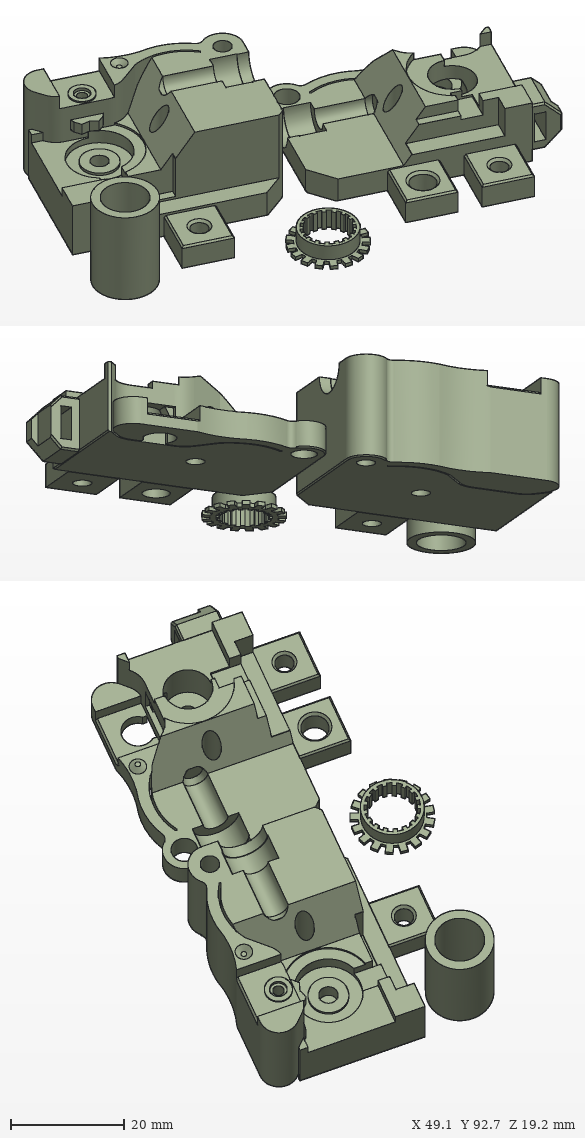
import cadquery as cq
import math

inner_y = 2.15
outer_y = 43.0
right_x = 30.0
inner_corner_chamfer = 4.5
bottom_chamfer = 0.25
ramp_low_y = 18.93
ramp_high_y = 24.74
hub_x, hub_y = 15.6, 33.0
margin = 2.0

pivot_x, pivot_y = 3.95, 6.0
pivot_radius = 3.9
arm_tip_radius = 3.58
arm_tip_y = 39.3
arm_flat_end_y = 28.4
arm_hole_x = 6.05
arm_recess_y = (27.85, 38.1)
arm_recess_lip = 0.4
pip_x, pip_y = 2.75, 24.9
pip_base_diameter = 3.1
pip_top_diameter = 1.0
pip_height = 0.8

slit_width = 0.4
half_root = math.sqrt(0.5)
block_corner_x = arm_tip_radius * (1 + half_root)
slit_tip_x = (arm_tip_radius + slit_width / 2) * half_root + arm_tip_radius
slit_tip_y = (arm_tip_radius + slit_width / 2) * half_root + arm_tip_y
slit_lead = 0.6
slit_wall_x = 8.98
slit_bend_radius = 4.5
slit_diagonal_end = (4.2, 22.2)
slit_bow = (2.5, 16.6)
slit_end = (4.1, 10.4)

rail_x = 26.5
rail_outer_y = 37.85
slot_x = 24.9
post_x = 24.3
notch_y = (30.85, 34.95)
corner_strip_x = 7.65
disc_radius = 8.2
tab_length = 9.8
tab_height = 4.7
tab_chamfer = 0.35
lead_in = 0.5
ramp_hole_diameter = 3.4
ramp_hole_y = (ramp_low_y + ramp_high_y) / 2

screw_x = 11.3
screw_diameter = 4.7
screw_head_diameter = 8.8
screw_mouth_diameter = 8.5
screw_mouth_y = 4.35
screw_head_y = 9.42
screw_tip_y = 20.1
screw_tip_length = 1.2
screw_tip_diameter = 3.6



def box(x_range, y_range, z_range):
    """Axis-aligned box between pairs of limits."""
    size = [pair[1] - pair[0] for pair in (x_range, y_range, z_range)]
    corner = (x_range[0], y_range[0], z_range[0])
    return cq.Workplane("XY").box(*size, centered=False).translate(corner)


def cylinder(x, y, diameter, z_low, z_high):
    """Upright cylinder."""
    plane = cq.Workplane("XY", origin=(x, y, z_low))
    return plane.circle(diameter / 2).extrude(z_high - z_low)


def cone(x, y, z_low, low_diameter, z_high, high_diameter):
    """Upright truncated cone."""
    solid = cq.Solid.makeCone(
        low_diameter / 2, high_diameter / 2, z_high - z_low, pnt=cq.Vector(x, y, z_low)
    )
    return cq.Workplane(obj=solid)




def housing_outline(height):
    """Plan shape of one housing, arm included, with bevelled bottom edges."""
    neck_start = (1.15, 8.7)
    neck_end = (1.5, 10.5)
    side_wave_y = 18.6
    tip_side = arm_tip_radius * half_root
    return (
        cq.Workplane("XY")
        .moveTo(pivot_x, inner_y)
        .lineTo(right_x - inner_corner_chamfer, inner_y)
        .lineTo(right_x, inner_y + inner_corner_chamfer)
        .lineTo(right_x, outer_y)
        .lineTo(block_corner_x, outer_y)
        .lineTo(block_corner_x, arm_tip_y + tip_side)
        .threePointArc((arm_tip_radius, arm_tip_y + arm_tip_radius), (0, arm_tip_y))
        .lineTo(0, arm_flat_end_y)
        .threePointArc((0.85, 23.8), (0.3, side_wave_y))
        .threePointArc((0.3, 14.4), neck_end)
        .threePointArc((1.65, 9.5), neck_start)
        .threePointArc((pivot_x - pivot_radius, pivot_y), (pivot_x, inner_y))
        .close()
        .extrude(height)
        .faces("<Z")
        .edges(">X or >Y or <Y")
        .chamfer(bottom_chamfer)
    )


def slit_path():
    """Centre line of the slit, from beyond the arm tip to its blind end."""
    lead = slit_lead * half_root
    reach = slit_bend_radius * half_root
    bend_x = slit_wall_x - slit_bend_radius
    mid_x = bend_x + slit_bend_radius * math.cos(math.pi / 8)
    mid_rise = slit_bend_radius * math.sin(math.pi / 8)
    upper_y = slit_tip_x + slit_tip_y - bend_x - 2 * reach
    diagonal_end_x, diagonal_end_y = slit_diagonal_end
    lower_y = diagonal_end_y - diagonal_end_x + bend_x + 2 * reach
    return (
        cq.Workplane("XY")
        .moveTo(slit_tip_x - lead, slit_tip_y + lead)
        .lineTo(bend_x + reach, upper_y + reach)
        .threePointArc((mid_x, upper_y + mid_rise), (slit_wall_x, upper_y))
        .lineTo(slit_wall_x, lower_y)
        .threePointArc((mid_x, lower_y - mid_rise), (bend_x + reach, lower_y - reach))
        .lineTo(*slit_diagonal_end)
        .threePointArc(slit_bow, slit_end)
    )


def slit_cutter(height):
    """Narrow gap that follows the slit's centre line."""
    slit = slit_path().wire().offset2D(slit_width / 2).extrude(height + 2 * margin)
    return slit.translate((0, 0, -margin))


def block_zone(height):
    """Everything to the right of the slit's centre line."""
    far_x = right_x + margin
    return (
        slit_path()
        .lineTo(slit_end[0], 0)
        .lineTo(far_x, 0)
        .lineTo(far_x, outer_y + margin)
        .lineTo(slit_tip_x - slit_lead * half_root, outer_y + margin)
        .close()
        .extrude(height)
    )


def above_block_surface(inner_z, outer_z, top_z):
    """Space above the inner plateau, the ramp and the outer plateau."""
    return (
        cq.Workplane("YZ", origin=(-margin, 0, 0))
        .moveTo(0, top_z)
        .lineTo(0, inner_z)
        .lineTo(ramp_low_y, inner_z)
        .lineTo(ramp_high_y, outer_z)
        .lineTo(outer_y + margin, outer_z)
        .lineTo(outer_y + margin, top_z)
        .close()
        .extrude(right_x + 2 * margin)
    )




def screw_bed(parting_z):
    """Screw, head and mouth lying on the parting face, revolved about the screw axis."""
    profile = [
        (0, 0),
        (screw_mouth_diameter / 2, 0),
        (screw_mouth_diameter / 2, screw_mouth_y),
        (screw_head_diameter / 2, screw_mouth_y),
        (screw_head_diameter / 2, screw_head_y),
        (screw_diameter / 2, screw_head_y),
        (screw_diameter / 2, screw_tip_y - screw_tip_length),
        (screw_tip_diameter / 2, screw_tip_y),
        (0, screw_tip_y),
    ]
    turned = cq.Workplane("XY").polyline(profile).close().revolve(360, (0, 0, 0), (0, 1, 0))
    return turned.translate((screw_x, 0, parting_z))


def arm_recess(floor_z, top_z):
    """Recess across the arm, bevelled where it opens to the left."""
    return (
        cq.Workplane("XZ", origin=(0, arm_recess_y[1], 0))
        .moveTo(-margin, top_z)
        .lineTo(-margin, floor_z - arm_recess_lip)
        .lineTo(0, floor_z - arm_recess_lip)
        .lineTo(arm_recess_lip, floor_z)
        .lineTo(slit_wall_x, floor_z)
        .lineTo(slit_wall_x, top_z)
        .close()
        .extrude(arm_recess_y[1] - arm_recess_y[0])
    )


def rail_channel(inner_end_y, floor_z, top_z):
    """Open step along the right edge."""
    return box((rail_x, right_x + margin), (inner_end_y, rail_outer_y), (floor_z, top_z))


def rail_slot(inner_end_y, floor_z, top_z):
    """Narrow slot beside the rail, ending at the cross notch."""
    return box((slot_x, rail_x), (inner_end_y, notch_y[0]), (floor_z, top_z))


def top_recesses(disc_z, floor_z, notch_z, notch_left_x, top_z):
    """Half disc around the cavity, the floor behind it, and the cross notch."""
    disc = cylinder(hub_x, hub_y, 2 * disc_radius, disc_z, top_z)
    disc = disc.intersect(box((0, right_x), (0, hub_y), (0, top_z)))
    floor = box((corner_strip_x, post_x), (hub_y, outer_y + margin), (floor_z, top_z))
    notch = box((notch_left_x, rail_x), notch_y, (notch_z, top_z))
    return disc.union(floor).union(notch)


def tab(inner_end_y, hole_diameter):
    """Mounting tab on the right side with a countersunk hole."""
    outer_end_x = right_x + tab_length
    outer_end_y = inner_end_y + tab_length
    plate = (
        box((right_x, outer_end_x), (inner_end_y, outer_end_y), (0, tab_height))
        .faces(">Z")
        .edges(">X or >Y or <Y")
        .chamfer(tab_chamfer)
    )
    hole_x = right_x + tab_length / 2
    hole_y = inner_end_y + tab_length / 2
    mouth_diameter = hole_diameter + 2 * lead_in
    mouth = cone(hole_x, hole_y, tab_height - lead_in, hole_diameter, tab_height, mouth_diameter)
    return plate.cut(cylinder(hole_x, hole_y, hole_diameter, 0, tab_height)).cut(mouth)


back_inner_z = 5.0
back_outer_z = 13.0
back_disc_z = 11.57
back_floor_z = 10.26
back_notch_z = 9.8
back_notch_x = 20.7
back_rail_inner_y = 20.5
back_rail_z = 7.0
back_slot_inner_y = 22.0
back_slot_z = 10.6
back_recess_z = 2.4
back_pivot_hole = 4.7
back_bore_diameter = 8.8
back_bore_z = 2.4
back_pin_hole_diameter = 3.2
back_pin_hole_depth = 1.4
clip_hole_diameter = 6.0
clip_gap = 4.7
window_y = (28.6, 37.2)
window_z = (2.4, 7.4)
window_depth = 1.0
window_hole_diameter = 7.25
back_tab_small_y = 30.25
back_tab_large_y = 15.95
small_tab_hole = 3.4
large_tab_hole = 5.0

lug_x = (18.6, 26.9)
lug_step_x = 24.3
lug_step_y = 48.45
lug_tip_y = 49.7
lug_height = 10.0
lug_bevel = 3.2
lug_edge_chamfer = 0.35
lug_slot_y = (44.5, 46.6)
lug_slot_z = (1.9, 8.0)


def side_window():
    """Opening from the slit into the bore: a flat pocket, then a trimmed round hole."""
    wall_x = slit_wall_x
    pocket = box((wall_x, wall_x + window_depth), window_y, window_z)
    middle_z = sum(window_z) / 2
    tunnel = cq.Workplane("YZ", origin=(wall_x, 0, 0)).center(hub_y, middle_z)
    tunnel = tunnel.circle(window_hole_diameter / 2).extrude(hub_x - wall_x)
    return pocket.union(tunnel.intersect(box((wall_x, hub_x), window_y, window_z)))


def end_lug():
    """Bevelled lug on the far end with a slot through it along X."""
    profile = (
        cq.Workplane("YZ", origin=(lug_x[0], 0, 0))
        .moveTo(outer_y, 0)
        .lineTo(lug_tip_y - lug_bevel, 0)
        .lineTo(lug_tip_y, lug_bevel)
        .lineTo(lug_tip_y, lug_height - lug_bevel)
        .lineTo(lug_tip_y - lug_bevel, lug_height)
        .lineTo(outer_y, lug_height)
        .close()
        .extrude(lug_x[1] - lug_x[0])
        .faces("<X or >X")
        .edges("not <Y")
        .chamfer(lug_edge_chamfer)
    )
    step = box((lug_x[0], lug_step_x), (lug_step_y, lug_tip_y), (0, lug_height))
    return profile.cut(step).cut(box(lug_x, lug_slot_y, lug_slot_z))


def make_back_housing():
    height = back_outer_z
    above_arm = box((-margin, right_x), (0, outer_y), (back_inner_z, height)).cut(block_zone(height))
    body = housing_outline(height)
    body = body.cut(above_block_surface(back_inner_z, back_outer_z, height + margin))
    body = body.cut(above_arm).cut(slit_cutter(height))
    body = body.cut(top_recesses(back_disc_z, back_floor_z, back_notch_z, back_notch_x, height))
    body = body.cut(rail_channel(back_rail_inner_y, back_rail_z, height))
    body = body.cut(rail_slot(back_slot_inner_y, back_slot_z, height))
    body = body.cut(screw_bed(back_inner_z))
    body = body.cut(cylinder(hub_x, ramp_hole_y, ramp_hole_diameter, 0, height))
    body = body.cut(cylinder(hub_x, hub_y, back_bore_diameter, back_bore_z, height))
    pin_floor = back_bore_z - back_pin_hole_depth
    body = body.cut(cylinder(hub_x, hub_y, back_pin_hole_diameter, pin_floor, back_bore_z))
    body = body.cut(side_window())
    body = body.cut(arm_recess(back_recess_z, back_inner_z))
    body = body.cut(cylinder(pivot_x, pivot_y, back_pivot_hole, 0, height))
    body = body.cut(cylinder(arm_hole_x, hub_y, clip_hole_diameter, 0, back_inner_z))
    gap_y = (hub_y - clip_gap / 2, hub_y + clip_gap / 2)
    body = body.cut(box((arm_hole_x, slit_wall_x), gap_y, (0, back_inner_z)))
    pip_top = back_inner_z + pip_height
    body = body.union(cone(pip_x, pip_y, back_inner_z, pip_base_diameter, pip_top, pip_top_diameter))
    body = body.union(tab(back_tab_small_y, small_tab_hole))
    body = body.union(tab(back_tab_large_y, large_tab_hole))
    return body.union(end_lug())


front_inner_z = 19.0
front_outer_z = 11.0
front_disc_z = 10.6
front_floor_z = 9.2
front_notch_z = 8.8
front_notch_x = 21.3
front_rail_z = 5.2
front_slot_inner_y = 22.5
front_slot_z = 5.7
front_slot_top_z = 14.0
front_recess_z = 16.35
front_pivot_hole = 3.4
front_pocket_diameter = 12.2
front_pocket_z = 7.9
seat_diameter = 7.25
seat_height = 0.5
seat_hole_diameter = 3.4
seat_hole_depth = 3.0
nose_root_x = 8.5
nose_neck_x = 9.6
nose_tip_x = 10.7
nose_notch_x = 10.2
nose_half_width = 3.2
nose_tip_half_width = 2.7
nose_crest_offset = 1.6
nose_z = (11.2, 13.4)
insert_ring_diameter = 5.0
insert_ring_height = 0.3
insert_hole_diameter = 3.1
insert_core_diameter = 2.0
insert_lead_depth = 0.6
insert_depth = 6.0
front_tab_y = 16.05


def hub_pocket():
    """Round pocket with a raised seat and a blind hole."""
    pocket = cylinder(hub_x, hub_y, front_pocket_diameter, front_pocket_z, front_inner_z)
    seat_top = front_pocket_z + seat_height
    pocket = pocket.cut(cylinder(hub_x, hub_y, seat_diameter, front_pocket_z, seat_top))
    return pocket.union(cylinder(hub_x, hub_y, seat_hole_diameter, seat_top - seat_hole_depth, seat_top))


def arm_nose():
    """Two-crested nose on the arm, reaching over the slit towards the pocket."""
    return (
        cq.Workplane("XY", origin=(0, hub_y, nose_z[0]))
        .moveTo(nose_root_x, -nose_half_width)
        .lineTo(nose_neck_x, -nose_tip_half_width)
        .lineTo(nose_tip_x, -nose_crest_offset)
        .lineTo(nose_notch_x, 0)
        .lineTo(nose_tip_x, nose_crest_offset)
        .lineTo(nose_neck_x, nose_tip_half_width)
        .lineTo(nose_root_x, nose_half_width)
        .close()
        .extrude(nose_z[1] - nose_z[0])
    )


def insert_hole(top_z):
    """Stepped blind hole in the arm."""
    mouth = cylinder(arm_hole_x, hub_y, insert_hole_diameter, top_z - insert_lead_depth, top_z)
    return mouth.union(cylinder(arm_hole_x, hub_y, insert_core_diameter, top_z - insert_depth, top_z))


def make_front_housing():
    height = front_inner_z
    lowered = above_block_surface(front_inner_z, front_outer_z, height + margin)
    body = housing_outline(height).cut(lowered.intersect(block_zone(height + margin)))
    body = body.cut(slit_cutter(height))
    recesses = top_recesses(front_disc_z, front_floor_z, front_notch_z, front_notch_x, front_outer_z)
    body = body.cut(recesses.intersect(block_zone(height)))
    body = body.cut(rail_channel(0, front_rail_z, height))
    body = body.cut(rail_slot(front_slot_inner_y, front_slot_z, front_slot_top_z))
    body = body.cut(screw_bed(front_inner_z))
    body = body.cut(cylinder(hub_x, ramp_hole_y, ramp_hole_diameter, 0, height))
    body = body.cut(hub_pocket())
    body = body.cut(arm_recess(front_recess_z, height))
    body = body.cut(cylinder(pivot_x, pivot_y, front_pivot_hole, 0, height))
    dimple_floor = height - pip_height
    body = body.cut(cone(pip_x, pip_y, dimple_floor, pip_top_diameter, height, pip_base_diameter))
    ring_top = front_recess_z + insert_ring_height
    body = body.union(cylinder(arm_hole_x, hub_y, insert_ring_diameter, front_recess_z, ring_top))
    body = body.cut(insert_hole(ring_top))
    body = body.union(arm_nose())
    body = body.union(tab(front_tab_y, small_tab_hole))
    return body.mirror("XZ")


gear_x, gear_y = 41.55, 0.83
gear_z = 0.15
flange_thickness = 0.75
gear_height = 3.8
tooth_count = 17
outer_tip_radius = 7.5
outer_root_radius = 6.1
outer_tooth_width = 1.4
gear_hub_diameter = 11.3
inner_root_radius = 5.0
inner_tip_radius = 4.45
inner_tooth_width = 0.8
tooth_overlap = 0.2


def make_ring_gear():
    """Thin toothed flange under a ring with internal teeth."""
    pitch_angle = 360 / tooth_count
    body = cq.Workplane("XY").circle(outer_root_radius).extrude(flange_thickness)
    body = body.union(cq.Workplane("XY").circle(gear_hub_diameter / 2).extrude(gear_height))
    body = body.cut(cq.Workplane("XY").circle(inner_root_radius).extrude(gear_height))
    outer_tooth = box(
        (inner_root_radius + tooth_overlap, outer_tip_radius),
        (-outer_tooth_width / 2, outer_tooth_width / 2),
        (0, flange_thickness),
    )
    inner_tooth = box(
        (inner_tip_radius, inner_root_radius + tooth_overlap),
        (-inner_tooth_width / 2, inner_tooth_width / 2),
        (0, gear_height),
    )
    axis = ((0, 0, 0), (0, 0, 1))
    for index in range(tooth_count):
        angle = index * pitch_angle
        body = body.union(outer_tooth.rotate(*axis, 180 + angle))
        body = body.union(inner_tooth.rotate(*axis, angle))
    return body.translate((gear_x, gear_y, gear_z))


sleeve_x, sleeve_y = 39.3, -36.35
sleeve_z = -0.19
sleeve_height = 18.0
sleeve_diameter = 12.2
sleeve_bore = 8.8


def make_sleeve():
    ring = cq.Workplane("XY", origin=(sleeve_x, sleeve_y, sleeve_z))
    return ring.circle(sleeve_diameter / 2).circle(sleeve_bore / 2).extrude(sleeve_height)


back_housing = make_back_housing()
front_housing = make_front_housing()
ring_gear = make_ring_gear()
sleeve = make_sleeve()

result = cq.Compound.makeCompound(
    [back_housing.val(), front_housing.val(), ring_gear.val(), sleeve.val()]
)